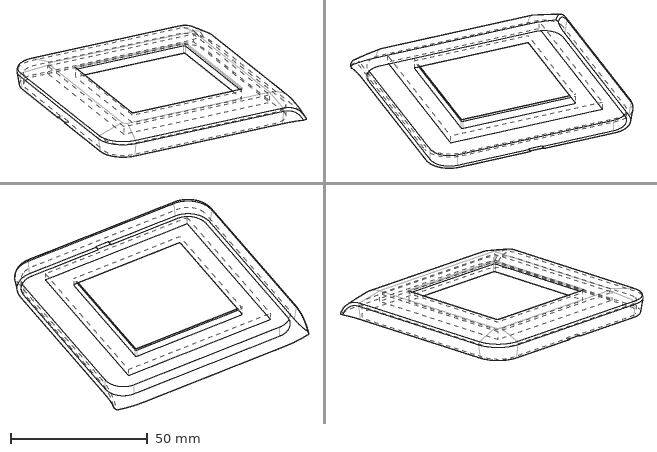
import cadquery as cq

SIZE = 82.0
HALF = SIZE / 2
HEIGHT = 8.6

SKIRT_HEIGHT = 5.4
SKIRT_DRAFT = 0.9
BAND_TOP = 6.6
BAND_INSET = 0.3
BORDER = 11.0
CORNER_RADIUS = 10.2
PANEL_SIZE = SIZE - 2 * BORDER
PANEL_CORNER_RADIUS = 1.5

BACK_START = HALF - BORDER
BAND_BACK_INSET = 1.3
SKIRT_BACK_INSET = 2.9

OPENING = 45.1
OPENING_CORNER_RADIUS = 0.5
LIP_FILLET = 0.3

FRAME_BOTTOM = 4.5
FRAME_TOP = 7.55
FRAME_SIZE = PANEL_SIZE

SKIRT_THICKNESS = 2.5
BACK_THICKNESS = 5.7
CAVITY_CORNER_RADIUS = CORNER_RADIUS - SKIRT_THICKNESS

NOTCH_WIDTH = 5.3
NOTCH_HEIGHT = 0.3


def rim_wire(inset, radius, z):
    """Closed outline at height z: straight at the back, rounded at the front corners."""
    side = HALF - inset
    bend = radius * (1 - 0.5 ** 0.5)
    return (
        cq.Workplane("XY", origin=(0, 0, z))
        .moveTo(-side, BACK_START)
        .lineTo(-side, -side + radius)
        .threePointArc((-side + bend, -side + bend), (-side + radius, -side))
        .lineTo(side - radius, -side)
        .threePointArc((side - bend, -side + bend), (side, -side + radius))
        .lineTo(side, BACK_START)
        .close()
        .val()
    )


def back_wire(inset, height, back_inset):
    """Closed profile of the back edge, on the plane a given inset from the left side."""
    run = HALF - back_inset - BACK_START
    radius = (run**2 + height**2) / (2 * height)
    middle_y = run / 2
    middle_z = height - radius + (radius**2 - middle_y**2) ** 0.5
    return (
        cq.Workplane("YZ", origin=(inset - HALF, 0, 0))
        .moveTo(BACK_START, 0)
        .lineTo(BACK_START, height)
        .threePointArc((BACK_START + middle_y, middle_z), (HALF - back_inset, 0))
        .close()
        .val()
    )


def front_part():
    """Everything ahead of the curved back edge."""
    wires = [
        rim_wire(SKIRT_DRAFT, CORNER_RADIUS - SKIRT_DRAFT, 0),
        rim_wire(0, CORNER_RADIUS, SKIRT_HEIGHT),
        rim_wire(BAND_INSET, CORNER_RADIUS - BAND_INSET, BAND_TOP),
        rim_wire(BORDER, PANEL_CORNER_RADIUS, HEIGHT),
    ]
    return cq.Workplane(cq.Solid.makeLoft(wires, True))


def back_corner():
    """Left back corner: band and sloping border swept down to the underside."""
    skirt_wire = back_wire(0, SKIRT_HEIGHT, SKIRT_BACK_INSET)
    band_wire = back_wire(BAND_INSET, BAND_TOP, BAND_BACK_INSET)
    middle_wire = back_wire((BAND_INSET + BORDER) / 2, (BAND_TOP + HEIGHT) / 2, BAND_BACK_INSET / 4)
    panel_wire = back_wire(BORDER, HEIGHT, 0)
    band = cq.Workplane(cq.Solid.makeLoft([skirt_wire, band_wire], True))
    border = cq.Workplane(cq.Solid.makeLoft([band_wire, middle_wire, panel_wire]))

    lean = cq.Vector(SKIRT_DRAFT, 0, -SKIRT_HEIGHT)
    draft = cq.Workplane(cq.Solid.extrudeLinear(cq.Face.makeFromWires(skirt_wire), lean))
    return band.union(border).cut(draft)


def back_part():
    """Curved back edge: a straight middle between two mirrored corners."""
    profile = cq.Face.makeFromWires(back_wire(BORDER, HEIGHT, 0))
    middle = cq.Workplane(cq.Solid.extrudeLinear(profile, cq.Vector(PANEL_SIZE, 0, 0)))
    corner = back_corner()
    return middle.union(corner).union(corner.mirror("YZ"))


def square_prism(side, bottom, top):
    return cq.Workplane("XY", origin=(0, 0, bottom)).rect(side, side).extrude(top - bottom)


def opening_cutter():
    return square_prism(OPENING, 0, HEIGHT).edges("|Z").fillet(OPENING_CORNER_RADIUS)


def cavity():
    """Hollow of the cover, open at the bottom, up to the underside of the support frame."""
    width = SIZE - 2 * SKIRT_THICKNESS
    length = SIZE - SKIRT_THICKNESS - BACK_THICKNESS
    middle_y = (SKIRT_THICKNESS - BACK_THICKNESS) / 2
    return (
        cq.Workplane("XY", origin=(0, middle_y, 0))
        .rect(width, length)
        .extrude(FRAME_BOTTOM)
        .edges("|Z")
        .fillet(CAVITY_CORNER_RADIUS)
    )


def pry_notch():
    return cq.Workplane("XY", origin=(0, -HALF, 0)).box(
        NOTCH_WIDTH, 2 * SKIRT_THICKNESS, NOTCH_HEIGHT, centered=(True, True, False)
    )


def make_cover():
    """Visible plate with its skirt, recessed below for the support frame."""
    cover = front_part().union(back_part())
    cover = cover.cut(cavity())
    cover = cover.cut(square_prism(FRAME_SIZE, FRAME_BOTTOM, FRAME_TOP))
    cover = cover.cut(opening_cutter())
    half_opening = OPENING / 2 + LIP_FILLET
    lip_edges = cq.selectors.BoxSelector(
        (-half_opening, -half_opening, HEIGHT - LIP_FILLET / 2),
        (half_opening, half_opening, HEIGHT + LIP_FILLET / 2),
    )
    cover = cover.edges(lip_edges).fillet(LIP_FILLET)
    return cover.cut(pry_notch())


def make_support_frame():
    """Square frame seated under the flat panel, lining the opening."""
    return square_prism(FRAME_SIZE, FRAME_BOTTOM, FRAME_TOP).cut(opening_cutter())


cover = make_cover()
support_frame = make_support_frame()
result = cq.Compound.makeCompound([cover.val(), support_frame.val()])